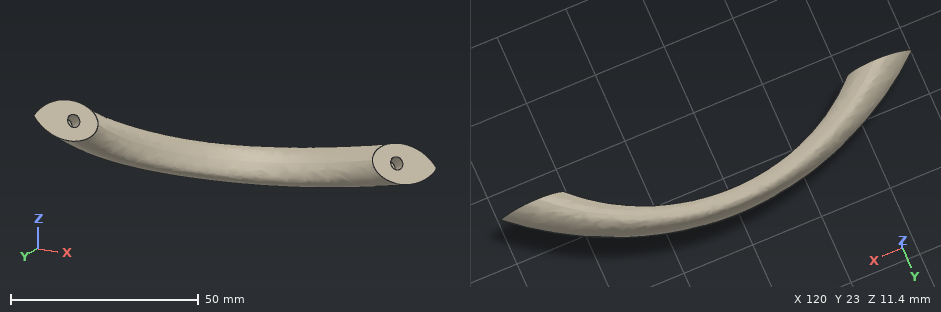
import cadquery as cq
import math

length = 120.0
outer_rise = 23.0
inner_rise = 16.9
foot_length = 19.2
middle_width = 10.1
foot_width = 11.4
middle_widest = 0.5
foot_widest = 0.56
corner_power = 3.5

hole_spacing = 96.0
hole_diameter = 3.6
hole_depth = 4.8
drill_angle = 118.0

section_count = 7
points_per_quarter = 8

outer_half_span = length / 2
inner_half_span = outer_half_span - foot_length


def blend(crown_value, foot_value, foot_share):
    return crown_value + (foot_value - crown_value) * foot_share


def distance_to_arc(angle, half_span, rise):
    """Distance from the origin to an arc, along a ray at angle from +X."""
    radius = (half_span**2 + rise**2) / (2 * rise)
    center_y = rise - radius
    along = center_y * math.sin(angle)
    return along + math.sqrt(along**2 + radius**2 - center_y**2)


def superellipse_quarter(share, power):
    """Unit point, from the face centre (0, 0) to the widest place (1, 1)."""
    turn = share * math.pi / 2
    return 1 - math.cos(turn) ** (2 / power), math.sin(turn) ** (2 / power)


def pointed_quarter(share, depth, half_width):
    """Unit point on a circular arc from the sharp tip to the widest place."""
    radius = (depth**2 + half_width**2) / (2 * half_width)
    turn = math.asin(depth / radius) * (1 - share)
    return 1 - radius * math.sin(turn) / depth, 1 - radius * (1 - math.cos(turn)) / half_width


def section(angle):
    """Closed section wire in the plane through the Z axis at angle from +X."""
    foot_share = 1 - math.sin(angle)
    outer = distance_to_arc(angle, outer_half_span, outer_rise)
    inner = distance_to_arc(angle, inner_half_span, inner_rise)
    half_width = blend(middle_width, foot_width, foot_share) / 2
    outer_depth = (outer - inner) * blend(middle_widest, foot_widest, foot_share)
    inner_depth = outer - inner - outer_depth
    foot_tip_depth = foot_length * foot_widest
    power = blend(corner_power, 2, foot_share)

    def place(distance, height):
        return cq.Vector(distance * math.cos(angle), distance * math.sin(angle), height)

    outer_points = []
    inner_points = []
    for step in range(points_per_quarter + 1):
        share = step / points_per_quarter
        flat_depth, flat_width = superellipse_quarter(share, corner_power)
        tip_depth, tip_width = pointed_quarter(share, foot_tip_depth, foot_width / 2)
        outer_points.append((
            outer - outer_depth * blend(flat_depth, tip_depth, foot_share),
            half_width * blend(flat_width, tip_width, foot_share),
        ))
        depth, width = superellipse_quarter(share, power)
        inner_points.append((inner + inner_depth * depth, half_width * width))

    inward = place(-1, 0)
    up = cq.Vector(0, 0, 1)
    upper_outer = cq.Edge.makeSpline([place(*point) for point in outer_points])
    upper_inner = cq.Edge.makeSpline(
        [place(*point) for point in reversed(inner_points)], tangents=[inward, -up]
    )
    lower_inner = cq.Edge.makeSpline(
        [place(distance, -height) for distance, height in inner_points], tangents=[-up, -inward]
    )
    lower_outer = cq.Edge.makeSpline(
        [place(distance, -height) for distance, height in reversed(outer_points)]
    )
    return cq.Wire.assembleEdges([upper_outer, upper_inner, lower_inner, lower_outer])


def half_bow():
    """Right half of the bow, from the foot on Y = 0 to the crown on X = 0."""
    angles = [math.pi / 2 * step / (section_count - 1) for step in range(section_count)]
    return cq.Workplane(cq.Solid.makeLoft([section(angle) for angle in angles]))


def screw_hole(x):
    """Blind drilled hole with a conical bottom, entering from Y = 0."""
    radius = hole_diameter / 2
    tip_length = radius / math.tan(math.radians(drill_angle / 2))
    profile = (
        cq.Workplane("XY")
        .polyline([(0, 0), (radius, 0), (radius, hole_depth), (0, hole_depth + tip_length)])
        .close()
    )
    return profile.revolve(360, (0, 0, 0), (0, 1, 0)).translate((x, 0, 0))


right_half = half_bow()
result = right_half.union(right_half.mirror("YZ"))
for side in (-1, 1):
    result = result.cut(screw_hole(side * hole_spacing / 2))